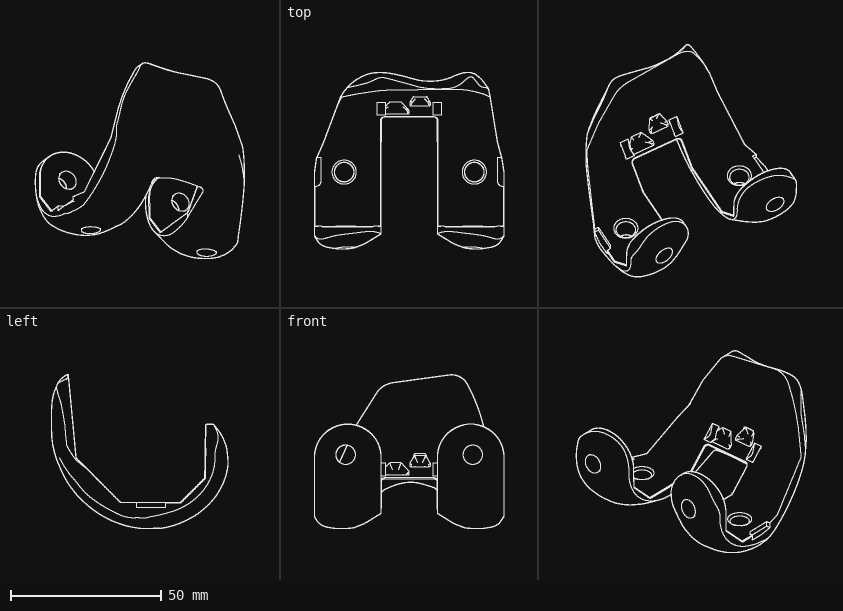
import cadquery as cq
import math


HALF_WIDTH = 31.55
POSTERIOR_Y = -29.5
BIG = 94.7

FLOOR_Z = 8.8
FLOOR_FRONT_Y = 6.45
FLOOR_BACK_Y = -13.45
FRONT_BEVEL_RUN = 14.8
BACK_BEVEL_RUN = 8.1
FLANGE_LEAN = 0.094
POSTERIOR_LEAN = 0.016
CUT_CORNER = 0.4

knee_y = FLOOR_FRONT_Y + FRONT_BEVEL_RUN
knee_z = FLOOR_Z + FRONT_BEVEL_RUN
heel_y = FLOOR_BACK_Y - BACK_BEVEL_RUN
heel_z = FLOOR_Z + BACK_BEVEL_RUN

HUB_Z = 29.05
HUB_RADIUS = 7.6
CREST = [
    (50, 34.45), (42, 33.9), (35, 33.45), (28, 32.7), (14, 30.35), (0, 29.2),
    (-15, 28.2), (-30, 27.7), (-45, 27.5), (-60, 27.7),
    (-75, 28.2), (-90, 29.0), (-105, 29.85), (-120, 30.5), (-135, 31.05), (-150, 31.1),
    (-165, 30.35), (-180, 28.2), (-196, 24.35),
]
CONDYLE_SIDE = [
    (33.45, 8.85), (31.55, 4.55), (29.35, 1.5), (25.9, 0.4), (22.1, 0.0), (17.7, 0.6), (13.25, 2.8), (9.45, 5.2),
]
CONDYLE_SECTION = [(-x, depth) for x, depth in CONDYLE_SIDE] + [(0.0, 7.8)] + CONDYLE_SIDE[::-1]
BRIDGE_SECTION = [
    (-28.4, 8.2), (-26.2, 4.1), (-24.3, 1.65), (-21.8, 0.4),
    (-18.95, 0.0), (-15.8, 0.6), (-12.6, 2.15), (-9.3, 4.75),
    (0.0, 7.95),
    (9.45, 4.05), (13.25, 2.3), (17.7, 0.6), (21.45, 0.0), (24.3, 0.4), (26.5, 1.5), (28.4, 4.1), (30.3, 8.2),
]
KNEE_SECTION = [
    (-25.9, 7.6), (-23.35, 4.9), (-21.35, 2.8), (-18.3, 1.0),
    (-12.6, 0.0), (-8.2, 0.6), (-4.4, 2.15), (-1.25, 3.55),
    (2.5, 4.3),
    (6.95, 3.9), (10.7, 2.85), (14.5, 0.95), (20.5, 0.0), (22.7, 0.4), (24.6, 1.5), (26.8, 4.1), (28.7, 7.6),
]
FLANGE_SECTION = [
    (-14.85, 4.1), (-12.6, 2.9), (-10.7, 1.15), (-9.2, 0.25), (-7.6, 0.0), (-3.8, 0.6), (0.0, 1.5), (3.15, 2.4),
    (6.95, 2.8),
    (11.35, 2.4), (14.5, 1.6), (17.05, 0.6), (19.55, 0.0), (20.5, 0.4), (21.45, 1.6), (22.7, 4.1), (24.0, 7.6),
]
TOP_FLATTENING = 0.4
TOP_SECTION = [(x, TOP_FLATTENING * depth) for x, depth in FLANGE_SECTION]
KEY_SECTIONS = [
    (-200, CONDYLE_SECTION), (-90, CONDYLE_SECTION), (-55, BRIDGE_SECTION),
    (-15, KNEE_SECTION), (28, FLANGE_SECTION), (50, TOP_SECTION),
]

LEAF_HALF_WIDTH = 11.1
ARCH_START_Z = 24.6
ARCH_TOP_Z = 34.85

SLOT_HALF_WIDTH = 9.3
SLOT_END_Y = 14.45
SLOT_CORNER = 1.25
RIM_BEVEL = 0.25
HOLE_DIAMETER = 6.45
PEG_X = 21.65
PEG_Y = -3.7
PEG_SINK_DIAMETER = 8.0
PEG_SINK_DEPTH = 0.8
LEAF_HOLE_X = 21.15
LEAF_HOLE_Z = 24.6

WEDGE_BOTTOM_Y = 15.2
WEDGE_TOP_Y = 19.5
WEDGE_INNER_X = 7.8
WEDGE_WIDTH = 2.95
WEDGE_WALL_RUN = 1.2
WEDGE_FILLET = 1.65

RECESSES = [(-4.6, 15.5, 4.6, 5.8), (3.6, 18.25, 3.4, 5.3)]
RECESS_DEPTH = 1.6
RECESS_TAPER = 45
RECESS_TOP_HALF_WIDTH = 1.9
RECESS_SHOULDER = 1.65
RECESS_FLOOR_FILLET = 0.5
RECESS_CORNER = 0.6

STEP_DEPTH = 1.75
STEP_WIDTH = 2.15
STEP_FRONT_Y = 1.1
STEP_BACK_Y = -8.45
STEP_CORNER = 1.65


def section_points(angle):
    """Points (X, depth below the crest) of the cross-section at this angle."""
    for (angle0, section0), (angle1, section1) in zip(KEY_SECTIONS, KEY_SECTIONS[1:]):
        if angle0 <= angle <= angle1:
            blend = (angle - angle0) / (angle1 - angle0)
            return [
                (x0 + (x1 - x0) * blend, depth0 + (depth1 - depth0) * blend)
                for (x0, depth0), (x1, depth1) in zip(section0, section1)
            ]


def section_wire(angle, crest_radius):
    """Closed section in the half-plane at this angle around the hub axis."""
    direction = cq.Vector(0, math.cos(math.radians(angle)), math.sin(math.radians(angle)))

    def place(x, radius):
        return cq.Vector(x, 0, HUB_Z) + direction * radius

    rim = [place(x, crest_radius - depth) for x, depth in section_points(angle)]
    hub_left = place(rim[0].x, HUB_RADIUS)
    hub_right = place(rim[-1].x, HUB_RADIUS)
    return cq.Wire.assembleEdges([
        cq.Edge.makeLine(hub_left, rim[0]),
        cq.Edge.makeSpline(rim),
        cq.Edge.makeLine(rim[-1], hub_right),
        cq.Edge.makeLine(hub_right, hub_left),
    ])


def articular_body():
    return cq.Workplane(cq.Solid.makeLoft([section_wire(a, r) for a, r in CREST]))


def bone_space():
    """Room inside the shell, bounded by the five flat cuts."""
    return (
        cq.Workplane("YZ").workplane(offset=-BIG / 2)
        .moveTo(FLOOR_FRONT_Y, FLOOR_Z)
        .lineTo(knee_y, knee_z)
        .lineTo(knee_y + FLANGE_LEAN * BIG, knee_z + BIG)
        .lineTo(heel_y - POSTERIOR_LEAN * BIG, heel_z + BIG)
        .lineTo(heel_y, heel_z)
        .lineTo(FLOOR_BACK_Y, FLOOR_Z)
        .close().extrude(BIG)
        .edges("|X and (not >Z)").fillet(CUT_CORNER)
    )


def plan_outline():
    """Straight sides at the back, tapering toward the flange."""
    return (
        cq.Workplane("XY").workplane(offset=-BIG / 2)
        .moveTo(-HALF_WIDTH, POSTERIOR_Y - 3.15)
        .lineTo(-HALF_WIDTH, -3.65).lineTo(-30.9, 0.75).lineTo(-28.6, 6.05).lineTo(-22.9, knee_y)
        .threePointArc((-18.7, 26.25), (-10.1, 29.65)).lineTo(-10.1, 37.9)
        .lineTo(25.25, 37.9).lineTo(25.25, 29.65).lineTo(26.95, knee_y).lineTo(29.4, 6.05).lineTo(30.85, 0.75)
        .lineTo(HALF_WIDTH, -3.65)
        .lineTo(HALF_WIDTH, POSTERIOR_Y - 3.15)
        .close().extrude(2 * BIG)
    )


def flange_outline():
    """Front part as outlined along Y: the lopsided flange."""
    return (
        cq.Workplane("XZ").workplane(offset=-FLOOR_FRONT_Y)
        .moveTo(-34.7, -3.15)
        .lineTo(-17.55, 34.65)
        .lineTo(-10.65, 45.5)
        .threePointArc((-8.35, 47.6), (-5.6, 48.6))
        .lineTo(13.25, 51.2)
        .threePointArc((16.85, 50.55), (19.4, 48.05))
        .threePointArc((22.2, 42.0), (24.8, 33.95))
        .lineTo(32.7, -3.15)
        .close().extrude(-BIG)
    )


def condyle_outline(side):
    """Back part of one condyle as outlined along Y: a straight leaf with an arched top."""
    x = side * (HALF_WIDTH - LEAF_HALF_WIDTH)
    return (
        cq.Workplane("XZ").workplane(offset=-FLOOR_FRONT_Y)
        .moveTo(x - LEAF_HALF_WIDTH, -3.15)
        .lineTo(x - LEAF_HALF_WIDTH, ARCH_START_Z)
        .threePointArc((x, ARCH_TOP_Z), (x + LEAF_HALF_WIDTH, ARCH_START_Z))
        .lineTo(x + LEAF_HALF_WIDTH, -3.15)
        .close().extrude(BIG)
    )


def front_bevel_plane(x, y):
    """Plane on the front bevel through (x, y): local Y climbs the bevel, the normal points inward."""
    return cq.Plane(origin=(x, y, FLOOR_Z + y - FLOOR_FRONT_Y), xDir=(1, 0, 0), normal=(0, -1, 1))


def slot():
    """Slot between the condyles; its end wall stands square to the front bevel."""
    return (
        cq.Workplane(front_bevel_plane(0, SLOT_END_Y)).center(0, -BIG / 2)
        .rect(2 * SLOT_HALF_WIDTH, BIG).extrude(BIG, both=True)
        .edges(cq.selectors.ParallelDirSelector(cq.Vector(0, -1, 1)))
        .edges(cq.selectors.DirectionMinMaxSelector(cq.Vector(0, 1, 1), True))
        .fillet(SLOT_CORNER)
    )


def slot_mouth():
    """Tapered cut that bevels the edge of the slot where it meets the front bevel."""
    length = (SLOT_END_Y - FLOOR_FRONT_Y) * math.sqrt(2) + RIM_BEVEL
    width = 2 * (SLOT_HALF_WIDTH + RIM_BEVEL)
    sketch = (
        cq.Sketch().rect(width, length)
        .vertices(">Y").fillet(SLOT_CORNER + RIM_BEVEL)
    )
    return (
        cq.Workplane(front_bevel_plane(0, FLOOR_FRONT_Y)).center(0, length / 2)
        .placeSketch(sketch).extrude(-RIM_BEVEL, taper=45)
    )


def bevel_leaf_edges(body):
    """Bevel the outline of the two upright inner faces, except along their bottom."""
    faces = [
        face for face in body.faces("%PLANE").vals()
        if heel_y - 0.6 < face.Center().y < heel_y and face.normalAt().y > 0.99
    ]
    edges = [edge for face in faces for edge in face.Edges() if edge.Center().z > heel_z + 0.6]
    return body.newObject(edges).chamfer(RIM_BEVEL)


def wedge_notch(side):
    """Notch in the front bevel: a level floor rounded into a steep back wall."""
    bottom_z = FLOOR_Z + WEDGE_BOTTOM_Y - FLOOR_FRONT_Y
    size = WEDGE_TOP_Y - WEDGE_BOTTOM_Y
    corner_y = WEDGE_TOP_Y - WEDGE_WALL_RUN
    centre_x = side * (WEDGE_INNER_X + WEDGE_WIDTH / 2)
    return (
        cq.Workplane("YZ").workplane(offset=centre_x - WEDGE_WIDTH / 2)
        .moveTo(WEDGE_BOTTOM_Y, bottom_z)
        .lineTo(corner_y, bottom_z)
        .lineTo(WEDGE_TOP_Y, bottom_z + size)
        .close().extrude(WEDGE_WIDTH)
        .edges(cq.selectors.NearestToPointSelector((centre_x, corner_y, bottom_z)))
        .fillet(WEDGE_FILLET)
    )


def recess(centre_x, edge_y, half_width, height):
    """D-shaped recess with sloping walls, sunk square to the front bevel."""
    bevel = front_bevel_plane(centre_x, edge_y)
    sketch = (
        cq.Sketch()
        .polygon([
            (-half_width, 0), (half_width, 0), (half_width, RECESS_SHOULDER),
            (RECESS_TOP_HALF_WIDTH, height), (-RECESS_TOP_HALF_WIDTH, height),
            (-half_width, RECESS_SHOULDER), (-half_width, 0),
        ])
        .vertices().fillet(RECESS_CORNER)
    )
    sunk = cq.Workplane(bevel).placeSketch(sketch).extrude(-RECESS_DEPTH, taper=RECESS_TAPER)
    deepest = cq.selectors.DirectionMinMaxSelector(cq.Vector(0, 1, -1), True)
    sunk = sunk.faces(deepest).edges().fillet(RECESS_FLOOR_FILLET)
    above = cq.Workplane(bevel).placeSketch(sketch).extrude(RECESS_DEPTH)
    return sunk.union(above)


def floor_step(side):
    """Shallow step along the outer edge of one floor, rounded at the back."""
    length = STEP_FRONT_Y - STEP_BACK_Y
    inner_corner = "|Z and <Y and " + ("<X" if side > 0 else ">X")
    return (
        cq.Workplane("XY").workplane(offset=FLOOR_Z - STEP_DEPTH)
        .center(side * HALF_WIDTH, (STEP_FRONT_Y + STEP_BACK_Y) / 2)
        .rect(2 * STEP_WIDTH, length).extrude(2 * STEP_DEPTH)
        .edges(inner_corner).fillet(STEP_CORNER)
    )


def peg_hole(side):
    """Through hole in one floor, with a shallow countersink."""
    top = cq.Workplane("XY").workplane(offset=FLOOR_Z).center(side * PEG_X, PEG_Y)
    bore = top.circle(HOLE_DIAMETER / 2).extrude(-BIG)
    sink = (
        top.circle(PEG_SINK_DIAMETER / 2)
        .workplane(offset=-PEG_SINK_DEPTH).circle(HOLE_DIAMETER / 2).loft()
    )
    return bore.union(sink)


def leaf_hole(side):
    """Hole along Y through the upright leaf of one condyle."""
    return cq.Workplane("XZ").center(side * LEAF_HOLE_X, LEAF_HOLE_Z).circle(HOLE_DIAMETER / 2).extrude(BIG)


outline = flange_outline().union(condyle_outline(-1)).union(condyle_outline(1)).intersect(plan_outline())
result = articular_body().intersect(outline).cut(bone_space()).cut(slot())
result = bevel_leaf_edges(result).cut(slot_mouth())
for side in (-1, 1):
    result = result.cut(peg_hole(side)).cut(leaf_hole(side)).cut(floor_step(side)).cut(wedge_notch(side))
for placement in RECESSES:
    result = result.cut(recess(*placement))